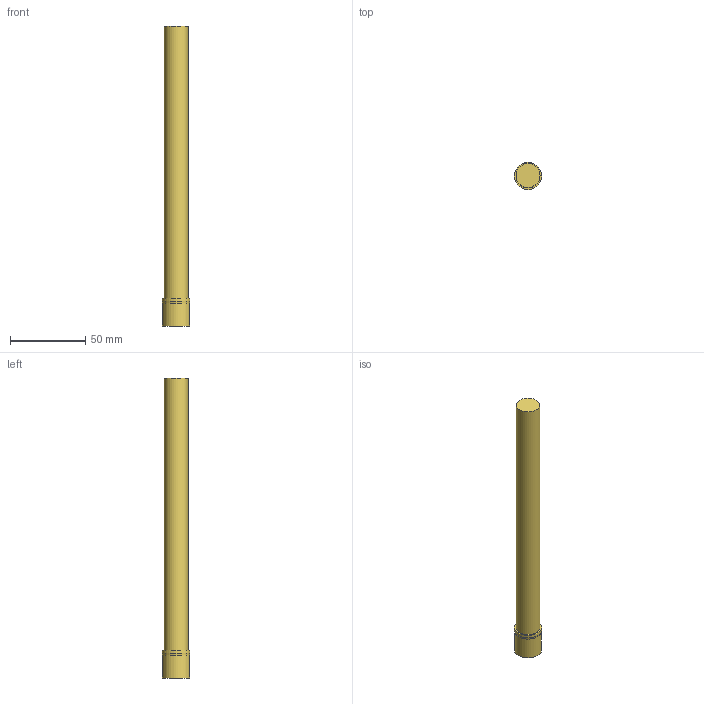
import cadquery as cq

total_length = 200.0
base_diameter = 18.0
collar_diameter = 18.3
rod_diameter = 16.0

base_top = 15.3
collar_bottom = 16.5
collar_top = 18.5


def turned_profile():
    """Half section of the stepped rod, with a taper leading from the base up to the collar."""
    base_radius = base_diameter / 2
    collar_radius = collar_diameter / 2
    rod_radius = rod_diameter / 2
    return (
        cq.Workplane("XZ")
        .moveTo(0, 0)
        .lineTo(base_radius, 0)
        .lineTo(base_radius, base_top)
        .lineTo(collar_radius, collar_bottom)
        .lineTo(collar_radius, collar_top)
        .lineTo(rod_radius, collar_top)
        .lineTo(rod_radius, total_length)
        .lineTo(0, total_length)
        .close()
    )


result = turned_profile().revolve(360, (0, 0, 0), (0, 1, 0))